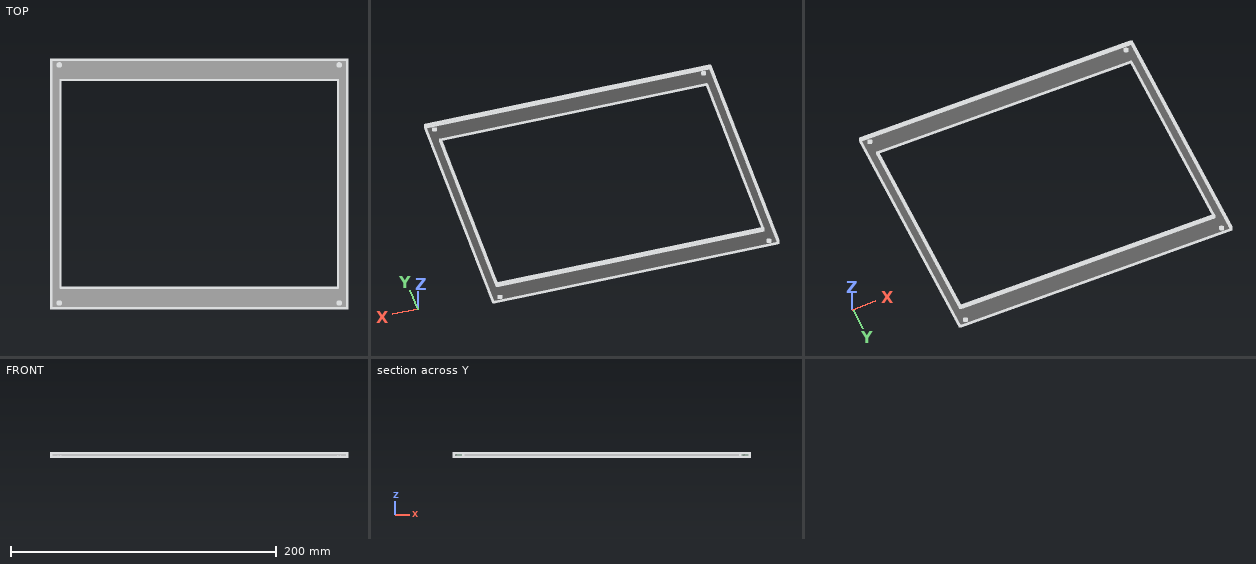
import cadquery as cq

length = 223.0
width = 187.0
thickness = 3.0

window_length = 208.7
window_width = 156.0

hole_diameter = 2.2
hole_spacing_x = 210.5
hole_spacing_y = 179.0

plate = cq.Workplane("XY").box(length, width, thickness)

frame = plate.faces(">Z").workplane().rect(window_length, window_width).cutThruAll()

result = (
    frame.faces(">Z")
    .workplane(origin=(0, 0, 0))
    .rect(hole_spacing_x, hole_spacing_y, forConstruction=True)
    .vertices()
    .hole(hole_diameter)
)